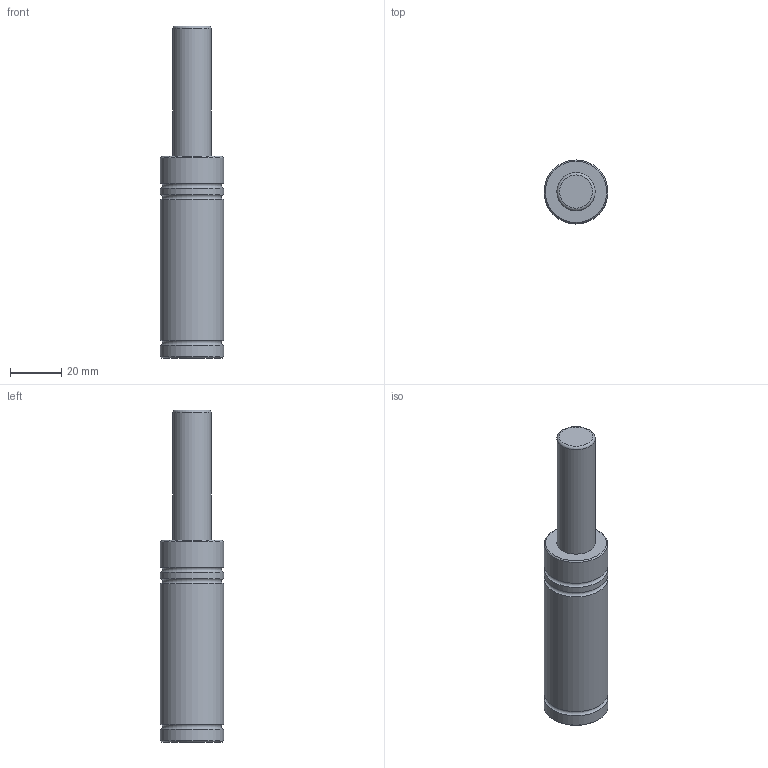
import cadquery as cq

total_height = 130.0
body_diameter = 25.0
body_height = 79.0
rod_diameter = 15.0

body_chamfer = 0.5
rod_end_radius = 1.0

groove_radius = 1.0
lower_groove_height = 6.0
upper_groove_height = 67.5
groove_spacing = 4.5
groove_heights = [
    lower_groove_height,
    upper_groove_height - groove_spacing,
    upper_groove_height,
]


def make_body():
    """Cylinder with both end edges chamfered."""
    body = cq.Workplane("XY").circle(body_diameter / 2).extrude(body_height)
    return body.faces("<Z or >Z").chamfer(body_chamfer)


def make_rod():
    """Piston rod standing on the body, with its free end rounded."""
    rod_length = total_height - body_height
    rod = cq.Workplane("XY").workplane(offset=body_height).circle(rod_diameter / 2).extrude(rod_length)
    return rod.faces(">Z").edges().fillet(rod_end_radius)


def make_groove_cutter(height):
    """Ring of circular section, centred on the body surface at the given height."""
    section = cq.Workplane("XZ").center(body_diameter / 2, height).circle(groove_radius)
    axis_x = -body_diameter / 2
    return section.revolve(360, (axis_x, 0), (axis_x, 1))


result = make_body().union(make_rod())
for groove_height in groove_heights:
    result = result.cut(make_groove_cutter(groove_height))